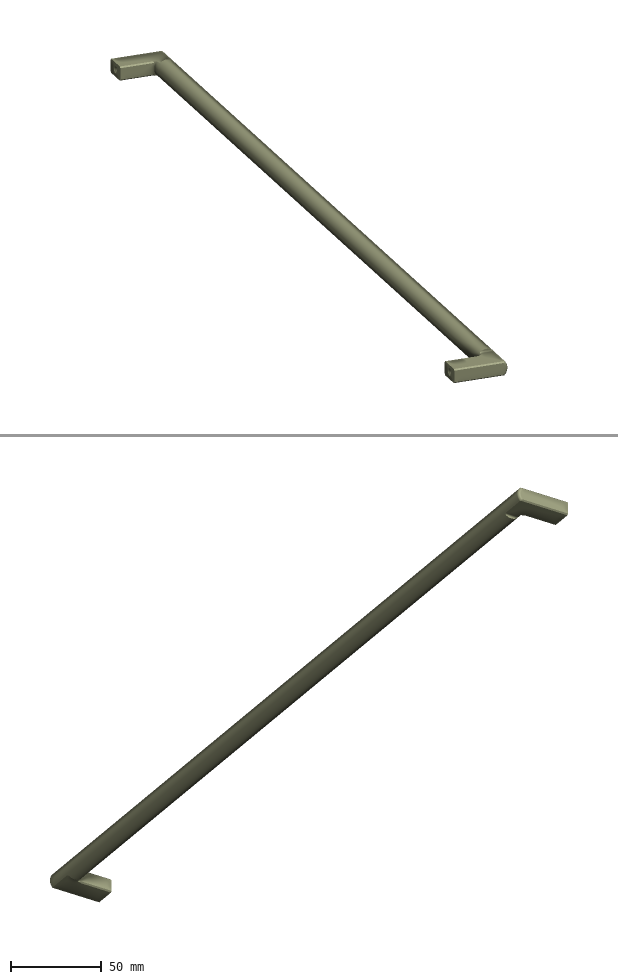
import cadquery as cq

overall_length = 494
overall_depth = 32.0

bar_diameter = 12.0
bar_length = 453.5

leg_width = 14.0
bracket_thickness = 8.5
collar_length = 3.0
arm_end_fillet = 1.5
leg_edge_chamfer = 0.75
collar_root_fillet = 1.0

hole_diameter = 3.0
hole_depth = 12.0
countersink_diameter = 4.5
countersink_angle = 90

bar_radius = bar_diameter / 2
bar_end = bar_length / 2
arm_start = bar_end + collar_length
outer_end = overall_length / 2
leg_inner = outer_end - leg_width
back = bar_radius
foot = back - overall_depth


def cylinder_along_x(start, end):
    """Cylinder of the bar's diameter, centred on the X axis."""
    return cq.Workplane("YZ", origin=(start, 0, 0)).circle(bar_radius).extrude(end - start)


def make_bar():
    return cylinder_along_x(-bar_end, bar_end)


def make_plate():
    """Flat L-shaped plate with chamfers along both sides of the leg."""
    plate = (
        cq.Workplane("XY", origin=(0, 0, -bracket_thickness / 2))
        .moveTo(outer_end, foot)
        .lineTo(outer_end, back)
        .lineTo(arm_start, back)
        .lineTo(arm_start, -bar_radius)
        .lineTo(leg_inner, -bar_radius)
        .lineTo(leg_inner, foot)
        .close()
        .extrude(bracket_thickness)
    )
    return plate.edges("|Y and (not <X)").chamfer(leg_edge_chamfer)


def make_envelope():
    """Space the plate may fill: the leg in front of the bar axis, and the round-ended arm."""
    leg_space = cq.Workplane("XY").box(leg_width, -foot, bar_diameter)
    leg_space = leg_space.translate((outer_end - leg_width / 2, foot / 2, 0))
    arm_space = cylinder_along_x(arm_start, outer_end).faces(">X").edges().fillet(arm_end_fillet)
    return leg_space.union(arm_space)


def make_collar():
    """Round collar at the bar, with fillets down to the flats of the arm."""
    collar = cylinder_along_x(bar_end, arm_start + collar_root_fillet)
    flat_cutter = (
        cq.Workplane("XY", origin=(arm_start, 0, bracket_thickness / 2))
        .box(leg_width, bar_diameter, bar_diameter, centered=(False, True, False))
        .edges("<X and <Z")
        .fillet(collar_root_fillet)
    )
    return collar.cut(flat_cutter).cut(flat_cutter.mirror("XY"))


def make_right_bracket():
    bracket = make_plate().intersect(make_envelope()).union(make_collar())
    return (
        bracket.faces("<Y")
        .workplane(centerOption="CenterOfBoundBox")
        .cskHole(hole_diameter, countersink_diameter, countersink_angle, hole_depth)
    )


bar = make_bar()
right_bracket = make_right_bracket()
left_bracket = right_bracket.mirror("YZ")

result = cq.Compound.makeCompound([bar.val(), right_bracket.val(), left_bracket.val()])